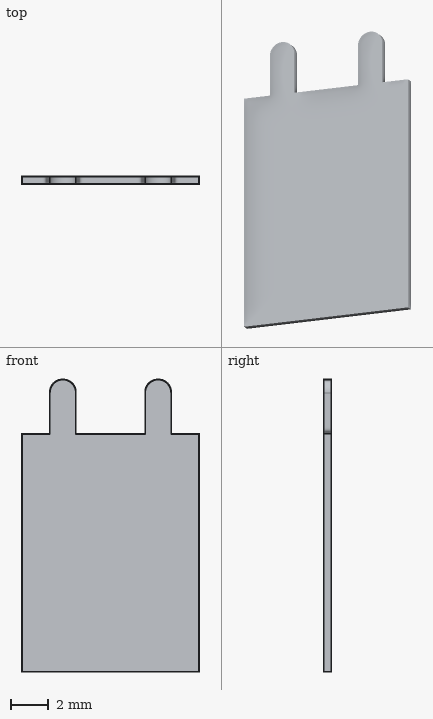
import cadquery as cq

plate_width = 9.45
plate_height = 12.7
thickness = 0.41
total_height = 15.6
tab_width = 1.4
tab_pitch = 5.08

tab_radius = tab_width / 2
tab_arc_center_z = total_height - tab_radius


def make_plate():
    """Rectangular plate standing on Z = 0, centred on X and Y."""
    return cq.Workplane("XY").box(plate_width, thickness, plate_height, centered=(True, True, False))


def make_tab(center_x):
    """Round-ended tab rising from the top edge of the plate."""
    return (
        cq.Workplane("XZ")
        .moveTo(center_x - tab_radius, plate_height)
        .lineTo(center_x - tab_radius, tab_arc_center_z)
        .threePointArc((center_x, total_height), (center_x + tab_radius, tab_arc_center_z))
        .lineTo(center_x + tab_radius, plate_height)
        .close()
        .extrude(thickness / 2, both=True)
    )


result = make_plate()
for side in (-1, 1):
    result = result.union(make_tab(side * tab_pitch / 2))
result = result.clean()